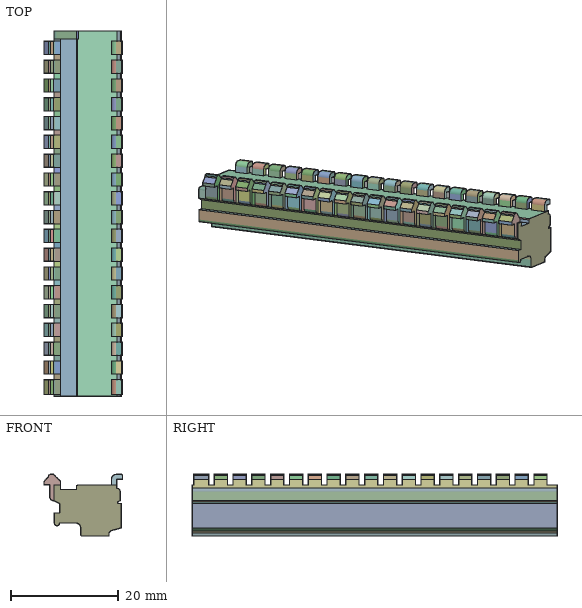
import cadquery as cq

length = 68.0
width = 14.7
height = 11.5
x_left = -width / 2
x_right = width / 2
y_back = length / 2

z_top = 9.5
z_ledge = 8.7
z_lip_top = 4.3
z_underside = 2.4

x_wall_outer = -5.45
x_wall_inner = -4.2
x_step = -1.3
step_chamfer = 0.2
x_recess = -4.4
z_recess_top = 6.0
z_wall_bottom = 6.55
x_lip_outer = -5.4
lip_thickness = 1.0
lip_radius = lip_thickness / 2

x_foot_left = -0.5
foot_cove = 0.9
x_foot_right = 4.8
foot_chamfer = 0.15
z_foot_side = 0.55
foot_knee = (5.1, 0.95)

x_flank = 7.1
z_flank_bottom = 1.5
z_flank_top = 6.1
x_groove = 6.45
z_groove = 6.35
x_bulge = 6.9
z_bulge_bottom = 6.6
z_bulge_top = 8.9
x_neck = 6.25
bulge_radius = x_bulge - x_neck

hook_count = 19
hook_pitch = 3.5
hook_width = 2.5
front_hook_extra = 0.3
y_first_hook = 32.1

x_stem_outer = -6.25
z_stem_curve = 7.25
stem_radius = x_wall_outer - x_stem_outer
z_nose = 10.1
x_head_left = -6.5
z_head_slope_top = 11.05
z_hook_shoulder = 11.3
x_peak_left = -6.1
x_peak_right = -5.55
z_slope_end = 10.2

x_hook_inner = 5.25
hook_bend_radius = 0.9
z_hook_underside = 10.55
tip_chamfer = 0.2

z_relief = 8.6
relief_length = 1.45
relief_edge_radius = 0.5
relief_step_chamfer = 0.4


def section(y, x, z):
    """Sketch in the XZ plane at position y, started at (x, z); it extrudes towards -Y."""
    return cq.Workplane("XZ", origin=(0, y, 0)).moveTo(x, z)


def make_body():
    """Constant section running the full length."""
    cove_start = x_foot_left - foot_cove
    return (
        section(y_back, x_wall_outer, z_top)
        .lineTo(x_wall_inner, z_top)
        .lineTo(x_wall_inner, z_ledge)
        .lineTo(x_step, z_ledge)
        .lineTo(x_step, z_top - step_chamfer)
        .lineTo(x_step + step_chamfer, z_top)
        .lineTo(x_neck, z_top)
        .lineTo(x_neck, z_bulge_top)
        .radiusArc((x_bulge, z_bulge_top - bulge_radius), bulge_radius)
        .lineTo(x_bulge, z_bulge_bottom)
        .lineTo(x_groove, z_groove)
        .lineTo(x_groove, z_flank_top)
        .lineTo(x_flank, z_flank_top)
        .lineTo(x_flank, z_flank_bottom)
        .lineTo(*foot_knee)
        .lineTo(x_foot_right, z_foot_side)
        .lineTo(x_foot_right, 0)
        .lineTo(x_foot_left + foot_chamfer, 0)
        .lineTo(x_foot_left, foot_chamfer)
        .lineTo(x_foot_left, z_underside - foot_cove)
        .radiusArc((cove_start, z_underside), -foot_cove)
        .lineTo(x_lip_outer + lip_thickness, z_underside)
        .threePointArc((x_lip_outer + lip_radius, z_underside - lip_radius), (x_lip_outer, z_underside))
        .lineTo(x_lip_outer, z_lip_top)
        .lineTo(x_recess, z_lip_top)
        .lineTo(x_recess, z_recess_top)
        .lineTo(x_wall_outer, z_wall_bottom)
        .close()
        .extrude(length)
    )


def make_left_hook(y, hook_length):
    """Barbed hook: a stem on the outside of the left wall and a head across its top."""
    return (
        section(y, x_wall_inner, z_top)
        .lineTo(x_wall_inner, z_slope_end)
        .lineTo(x_peak_right + (height - z_hook_shoulder), z_hook_shoulder)
        .lineTo(x_peak_right, height)
        .lineTo(x_peak_left, height)
        .lineTo(x_head_left, z_hook_shoulder)
        .lineTo(x_head_left, z_head_slope_top)
        .lineTo(x_left, z_nose)
        .lineTo(x_left, z_top)
        .lineTo(x_stem_outer, z_top)
        .lineTo(x_stem_outer, z_stem_curve)
        .radiusArc((x_wall_outer, z_wall_bottom), -stem_radius)
        .lineTo(x_wall_outer, z_top)
        .close()
        .extrude(hook_length)
    )


def make_right_hook(y, hook_length):
    """Hook standing on the right edge of the top face, bent outwards."""
    return (
        section(y, x_hook_inner, z_top)
        .lineTo(x_hook_inner, height - hook_bend_radius)
        .radiusArc((x_hook_inner + hook_bend_radius, height), hook_bend_radius)
        .lineTo(x_right - tip_chamfer, height)
        .lineTo(x_right, height - tip_chamfer)
        .lineTo(x_right, z_hook_underside)
        .lineTo(x_neck, z_hook_underside)
        .lineTo(x_neck, z_top)
        .close()
        .extrude(hook_length)
    )


def make_end_relief():
    """Cutter that lowers the left wall and the channel floor and eases the step at the back end."""
    return (
        section(y_back, x_wall_outer, z_top)
        .lineTo(x_wall_outer, z_relief - relief_edge_radius)
        .radiusArc((x_wall_outer + relief_edge_radius, z_relief), relief_edge_radius)
        .lineTo(x_step, z_relief)
        .lineTo(x_step, z_top - relief_step_chamfer)
        .lineTo(x_step + relief_step_chamfer, z_top)
        .close()
        .extrude(relief_length)
    )


result = make_body().cut(make_end_relief())
for index in range(hook_count):
    y_hook = y_first_hook - index * hook_pitch
    is_front_hook = index == hook_count - 1
    hook_length = hook_width + (front_hook_extra if is_front_hook else 0)
    result = result.union(make_left_hook(y_hook, hook_length))
    result = result.union(make_right_hook(y_hook, hook_length))